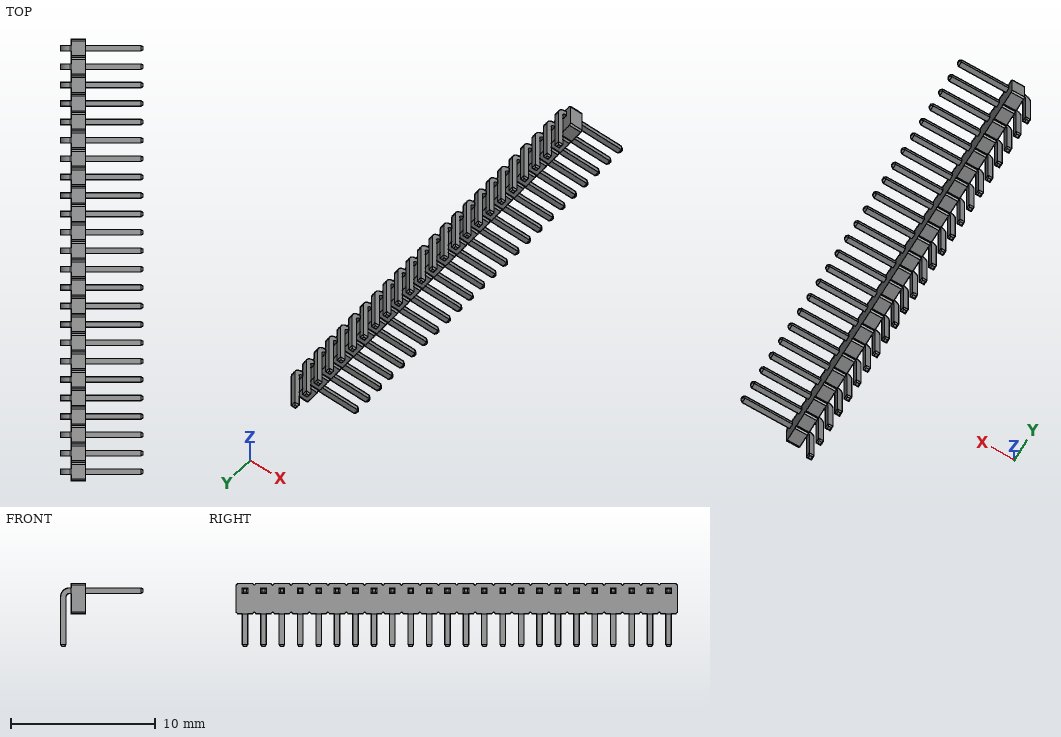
import cadquery as cq
import math

pin_count = 24
row_length = 30.48
pitch = row_length / pin_count

overall_x = 5.7
overall_z = 4.35

body_width = 1.0
body_height = 2.1
body_chamfer = 0.128
body_setback = 0.73

pin_size = 0.4
pin_depth = 0.3
bend_radius = 0.65
inner_bend_radius = bend_radius - pin_size
tip_length = 0.15
tip_inset = 0.1

tail_x = -overall_x / 2
pin_end_x = overall_x / 2
body_x = tail_x + body_setback
pin_top = overall_z - pin_depth
bend_x = tail_x + bend_radius
bend_z = pin_top - bend_radius
outer_mid_offset = bend_radius * math.sqrt(0.5)
inner_mid_offset = inner_bend_radius * math.sqrt(0.5)


def housing_segment(y):
    """One housing block with its four long edges chamfered."""
    return (
        cq.Workplane("XY")
        .box(body_width, pitch, body_height, centered=(False, True, False))
        .edges("|X")
        .chamfer(body_chamfer)
        .translate((body_x, y, overall_z - body_height))
    )


def pin(y):
    """One bent square pin with a tapered tip at both ends."""
    outer_mid = (bend_x - outer_mid_offset, bend_z + outer_mid_offset)
    inner_mid = (bend_x - inner_mid_offset, bend_z + inner_mid_offset)
    shank = (
        cq.Workplane("XZ")
        .moveTo(tail_x, tip_length)
        .lineTo(tail_x, bend_z)
        .threePointArc(outer_mid, (bend_x, pin_top))
        .lineTo(pin_end_x - tip_length, pin_top)
        .lineTo(pin_end_x - tip_length, pin_top - pin_size)
        .lineTo(bend_x, pin_top - pin_size)
        .threePointArc(inner_mid, (tail_x + pin_size, bend_z))
        .lineTo(tail_x + pin_size, tip_length)
        .close()
        .extrude(pin_size / 2, both=True)
    )
    tip_size = pin_size - 2 * tip_inset
    for end_face in ("<Z", ">X"):
        tip = (
            shank.faces(end_face)
            .workplane(centerOption="CenterOfMass")
            .rect(pin_size, pin_size)
            .workplane(offset=tip_length)
            .rect(tip_size, tip_size)
            .loft(combine=False)
        )
        shank = shank.union(tip)
    return shank.translate((0, y, 0))


positions = [(i - (pin_count - 1) / 2) * pitch for i in range(pin_count)]

result = housing_segment(positions[0])
for y in positions[1:]:
    result = result.union(housing_segment(y))
for y in positions:
    result = result.union(pin(y))